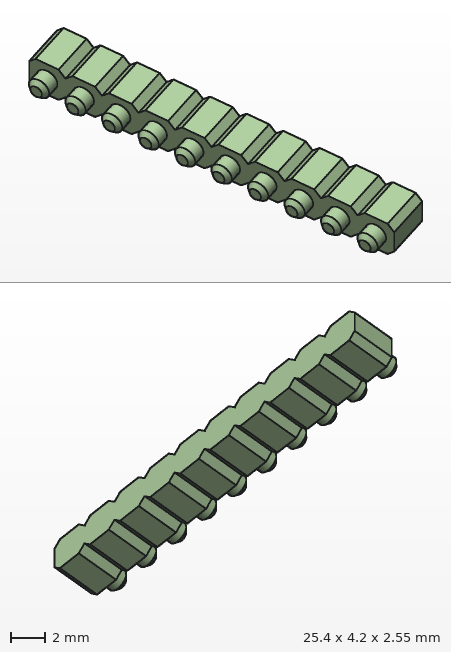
import cadquery as cq

length = 25.4
height = 2.55
total_depth = 4.2

position_count = 10
pitch = length / position_count
body_depth = 3.0
corner_chamfer = 0.45
notch_depth = 0.48

pin_diameter = 1.42
tip_diameter = 0.81
tip_length = 0.3
pin_length = total_depth - body_depth

front_face_y = pin_length - total_depth / 2
back_face_y = front_face_y + body_depth


def make_strip():
    """Rectangular bar with its four long outer corners chamfered."""
    return (
        cq.Workplane("XY")
        .box(length, body_depth, height)
        .edges("|Y")
        .chamfer(corner_chamfer)
        .translate((0, (front_face_y + back_face_y) / 2, 0))
    )


def make_notch(x, side):
    """V-groove along Y, open to the top (side = 1) or the bottom (side = -1)."""
    surface_z = side * height / 2
    root_z = side * (height / 2 - notch_depth)
    return (
        cq.Workplane("XZ", origin=(0, back_face_y, 0))
        .polyline([(x - notch_depth, surface_z), (x, root_z), (x + notch_depth, surface_z)])
        .close()
        .extrude(body_depth)
    )


def make_pin(x):
    """Round pin pointing toward -Y with a conical lead-in at its tip."""
    tip_inset = (pin_diameter - tip_diameter) / 2
    return (
        cq.Workplane("XZ", origin=(x, front_face_y, 0))
        .circle(pin_diameter / 2)
        .extrude(pin_length)
        .faces("<Y")
        .chamfer(tip_length, tip_inset)
    )


result = make_strip()

for joint in range(1, position_count):
    joint_x = joint * pitch - length / 2
    for side in (1, -1):
        result = result.cut(make_notch(joint_x, side))

for position in range(position_count):
    pin_x = (position + 0.5) * pitch - length / 2
    result = result.union(make_pin(pin_x))